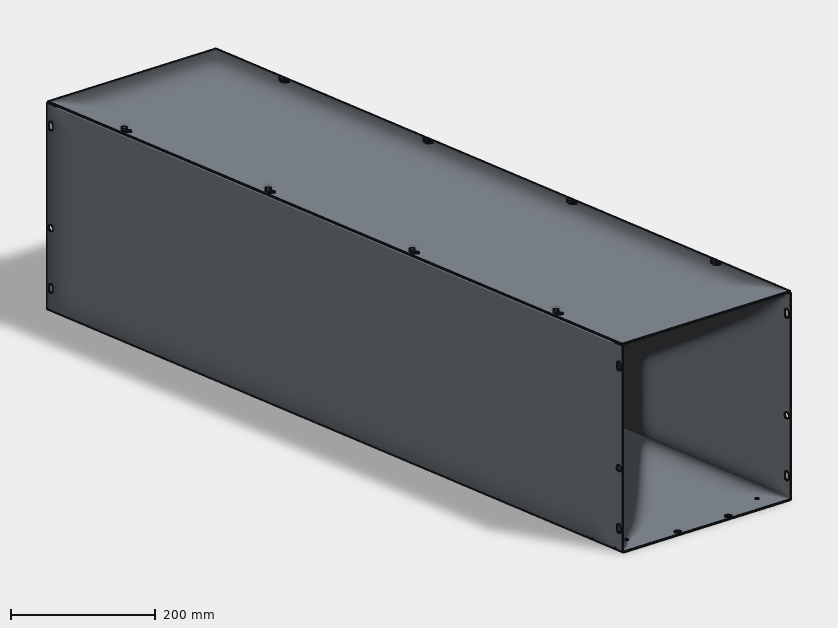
import cadquery as cq


length = 1219.2
sheet = 1.88
bend_inner_radius = 0.81
bend_outer_radius = bend_inner_radius + sheet
inner_width = 304.8
inner_height = 304.8
outer_width = inner_width + 2 * sheet
trough_height = inner_height + 2 * sheet
flange_width = 15.9
flange_end_relief = 19.05

cover_thickness = sheet
cover_end_gap = 1.6
cover_side_gap = 0.8
cover_length = length - 2 * cover_end_gap
cover_width = outer_width - 2 * cover_side_gap
cover_top = trough_height + cover_thickness

overall_height = 313.87
head_height = overall_height - cover_top
head_diameter = 7.94
shank_diameter = 6.35
shank_length = 9.525
screw_inset = 10.2
screw_y = outer_width / 2 - screw_inset
screw_count = 4
screw_spacing = length / screw_count
screw_x_positions = [(i - (screw_count - 1) / 2) * screw_spacing for i in range(screw_count)]
sides = (-1, 1)
screw_points = [(x, side * screw_y) for x in screw_x_positions for side in sides]
keyhole_slot_width = 6.75
keyhole_entry_diameter = 10.3
keyhole_travel = 7.14

end_signs = (-1, 1)
end_hole_inset = 7.94
end_hole_diameter = 9.53
wall_slot_width = 7.94
wall_slot_length = 13.75
wall_slot_middle_z = 154.7
wall_slot_offset = 120.65
wall_hole_drop = 31.0
floor_hole_offset = 46.0
small_hole_diameter = 4.59
small_hole_inset = 31.75
small_hole_offset = 119.0


def make_trough():
    """Bend the U-shaped sheet, with its two flanges, and pierce its holes."""
    outside = (
        cq.Workplane("XY")
        .box(length, outer_width, trough_height, centered=(True, True, False))
        .edges("|X")
        .fillet(bend_outer_radius)
    )
    inside = (
        cq.Workplane("XY")
        .workplane(offset=sheet)
        .box(length, inner_width, inner_height, centered=(True, True, False))
        .edges("|X")
        .fillet(bend_inner_radius)
    )
    opening = (
        cq.Workplane("XY")
        .workplane(offset=trough_height / 2)
        .rect(length, outer_width - 2 * flange_width)
        .extrude(trough_height)
    )
    trough = outside.cut(inside).cut(opening)
    return (
        trough.cut(flange_reliefs())
        .cut(wall_holes())
        .cut(floor_holes())
        .cut(flange_screw_holes())
    )


def flange_reliefs():
    """Corner clearances where the flanges stop short of the trough ends."""
    relief_width = outer_width - 2 * sheet
    relief_center_x = (length - flange_end_relief) / 2
    return (
        cq.Workplane("XY")
        .workplane(offset=sheet + inner_height)
        .pushPoints([(end * relief_center_x, 0) for end in end_signs])
        .rect(flange_end_relief, relief_width)
        .extrude(sheet)
    )


def wall_holes():
    """Two upright slots and a round hole at each end, through both side walls."""
    x_positions = [end * (length / 2 - end_hole_inset) for end in end_signs]
    slot_heights = [wall_slot_middle_z + side * wall_slot_offset for side in sides]
    slot_points = [(x, z) for x in x_positions for z in slot_heights]
    hole_points = [(x, wall_slot_middle_z - wall_hole_drop) for x in x_positions]
    slots = (
        cq.Workplane("XZ")
        .pushPoints(slot_points)
        .slot2D(wall_slot_length, wall_slot_width, angle=90)
        .extrude(outer_width / 2, both=True)
    )
    holes = (
        cq.Workplane("XZ")
        .pushPoints(hole_points)
        .circle(end_hole_diameter / 2)
        .extrude(outer_width / 2, both=True)
    )
    return slots.union(holes)


def floor_holes():
    """Two joining holes and two small corner holes at each end of the floor."""

    def drill(diameter, inset, offset):
        points = [(end * (length / 2 - inset), side * offset) for end in end_signs for side in sides]
        return cq.Workplane("XY").pushPoints(points).circle(diameter / 2).extrude(sheet)

    joining_holes = drill(end_hole_diameter, end_hole_inset, floor_hole_offset)
    small_holes = drill(small_hole_diameter, small_hole_inset, small_hole_offset)
    return joining_holes.union(small_holes)


def flange_screw_holes():
    """Holes in the flanges that the screw shanks fill."""
    return (
        cq.Workplane("XY")
        .workplane(offset=trough_height - sheet)
        .pushPoints(screw_points)
        .circle(shank_diameter / 2)
        .extrude(sheet)
    )


def make_cover():
    """Flat plate with a keyhole at each screw; the wide entry lies on the +X side."""
    entry_points = [(x + keyhole_travel, y) for x, y in screw_points]
    slot_points = [(x + keyhole_travel / 2, y) for x, y in screw_points]
    base = cq.Workplane("XY").workplane(offset=trough_height)
    slots = (
        base.pushPoints(slot_points)
        .slot2D(keyhole_travel + keyhole_slot_width, keyhole_slot_width)
        .extrude(cover_thickness)
    )
    entries = base.pushPoints(entry_points).circle(keyhole_entry_diameter / 2).extrude(cover_thickness)
    plate = base.rect(cover_length, cover_width).extrude(cover_thickness)
    return plate.cut(slots).cut(entries)


def make_screw(x, y):
    """Cylindrical-head screw whose head rests on the cover."""
    seat = cq.Workplane("XY").workplane(offset=cover_top).center(x, y)
    head = seat.circle(head_diameter / 2).extrude(head_height)
    shank = seat.circle(shank_diameter / 2).extrude(-shank_length)
    return head.union(shank)


trough = make_trough()
cover = make_cover()
screws = [make_screw(x, y) for x, y in screw_points]

result = cq.Compound.makeCompound([trough.val(), cover.val(), *[screw.val() for screw in screws]])